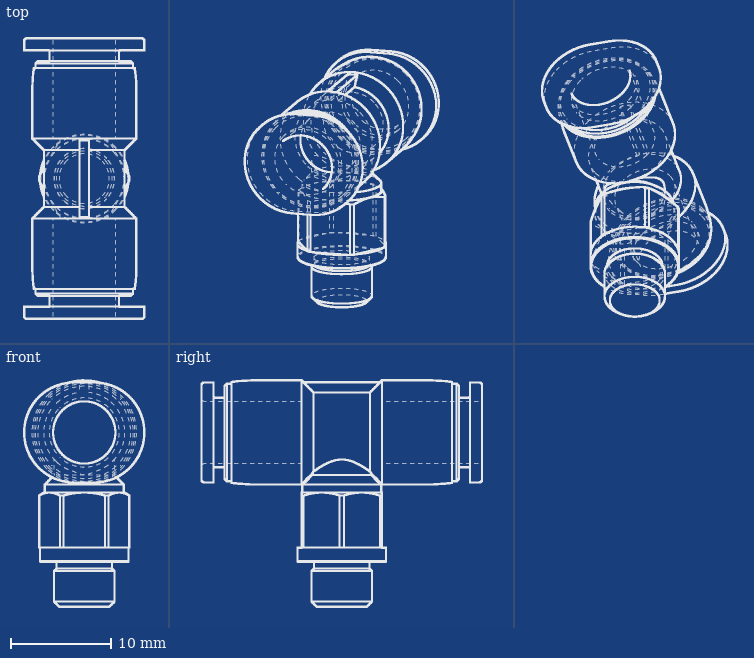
import cadquery as cq
import math


RUN_HALF_LENGTH = 14.0
FLANGE_HEIGHT = 10.0
FLANGE_WIDTH = 12.0
FLANGE_THICKNESS = 1.23
SLEEVE_RADIUS = 3.47
SLEEVE_ROOT_FILLET = 0.08
EDGE_FILLET = 0.3
BORE_RADIUS = 3.1

BODY_RADIUS = 5.2
BODY_HALF_LENGTH = 11.7
NOSE_LENGTH = 0.7
NOSE_RADIUS = 4.87
NOSE_CHAMFER = 0.25
TAPER_LENGTH = 2.02
TAPER_END_RADIUS = 5.05
SHOULDER_Y = 4.0
WAIST_RADIUS = 4.03
BORE_DEPTH = RUN_HALF_LENGTH - SHOULDER_Y

RIB_WIDTH = 0.98
RIB_TOP = 5.0

NECK_RADIUS = 3.0
CONE_BOTTOM = -5.2
COLLAR_RADIUS = 3.95
CONE_TOP = CONE_BOTTOM + (COLLAR_RADIUS - NECK_RADIUS)
HEX_TOP = -6.0
HEX_BOTTOM = -11.48
HEX_ACROSS_FLATS = 8.0
HEX_CORNER_RADIUS = 4.5
FLATS_TURN = 30.0
HEX_CHAMFER_ANGLE = 30.0
WASHER_RADIUS = 4.42
WASHER_BOTTOM = -12.9
WASHER_CHAMFER = 0.08
UNDERCUT_RADIUS = 2.77
UNDERCUT_BOTTOM = -13.58
THREAD_RADIUS = 3.02
THREAD_TIP_RADIUS = 2.5
STEM_BOTTOM = -17.4


def run_body():
    """Revolved body: waist, 45 degree shoulders, barrels and curved end tapers."""
    nose_y = BODY_HALF_LENGTH - NOSE_LENGTH
    barrel_y = nose_y - TAPER_LENGTH
    waist_y = SHOULDER_Y - (BODY_RADIUS - WAIST_RADIUS)
    half = (
        cq.Workplane("XY")
        .lineTo(WAIST_RADIUS, 0)
        .lineTo(WAIST_RADIUS, waist_y)
        .lineTo(BODY_RADIUS, SHOULDER_Y)
        .lineTo(BODY_RADIUS, barrel_y)
        .tangentArcPoint((TAPER_END_RADIUS, nose_y), relative=False)
        .lineTo(NOSE_RADIUS, nose_y)
        .lineTo(NOSE_RADIUS, BODY_HALF_LENGTH)
        .lineTo(0, BODY_HALF_LENGTH)
        .close()
        .revolve(360, (0, 0, 0), (0, 1, 0))
        .faces(">Y")
        .edges()
        .chamfer(NOSE_CHAMFER)
    )
    return half.union(half.mirror("XZ"))


def release_sleeve():
    """Sleeve with an oblong flange at the +Y end, its outer edge rounded."""
    flange = (
        cq.Workplane("XZ", origin=(0, RUN_HALF_LENGTH, 0))
        .slot2D(FLANGE_WIDTH, FLANGE_HEIGHT)
        .extrude(FLANGE_THICKNESS)
        .faces(">Y")
        .edges()
        .fillet(EDGE_FILLET)
    )
    sleeve = (
        cq.Workplane("XZ", origin=(0, RUN_HALF_LENGTH - FLANGE_THICKNESS, 0))
        .circle(SLEEVE_RADIUS)
        .extrude(BORE_DEPTH - FLANGE_THICKNESS)
    )
    root_edge = cq.selectors.RadiusNthSelector(0)
    return (
        flange.union(sleeve)
        .faces("<Y[1]")
        .edges("%CIRCLE")
        .edges(root_edge)
        .fillet(SLEEVE_ROOT_FILLET)
    )


def tube_bore():
    """Cutter for the blind tube bore at the +Y end, flared to leave a rounded lip."""
    bottom_y = RUN_HALF_LENGTH - BORE_DEPTH
    return (
        cq.Workplane("XY")
        .moveTo(0, bottom_y)
        .lineTo(BORE_RADIUS, bottom_y)
        .lineTo(BORE_RADIUS, RUN_HALF_LENGTH - EDGE_FILLET)
        .tangentArcPoint((BORE_RADIUS + EDGE_FILLET, RUN_HALF_LENGTH), relative=False)
        .lineTo(0, RUN_HALF_LENGTH)
        .close()
        .revolve(360, (0, 0, 0), (0, 1, 0))
    )


def waist_rib():
    """Flat-topped rib joining the two shoulders along the top of the waist."""
    length = 2 * (SHOULDER_Y - (BODY_RADIUS - RIB_TOP))
    return cq.Workplane("XY").box(RIB_WIDTH, length, RIB_TOP, centered=(True, True, False))


def hexagon():
    """Hexagon with flats facing Y, turned corners and the top edge chamfered."""
    height = HEX_TOP - HEX_BOTTOM
    flat_radius = HEX_ACROSS_FLATS / 2
    chamfer_width = HEX_CORNER_RADIUS - flat_radius
    chamfer_drop = chamfer_width * math.tan(math.radians(HEX_CHAMFER_ANGLE))
    prism = (
        cq.Workplane("XY", origin=(0, 0, HEX_BOTTOM))
        .polygon(6, HEX_ACROSS_FLATS, circumscribed=True)
        .extrude(height)
        .rotate((0, 0, 0), (0, 0, 1), FLATS_TURN)
    )
    turned_blank = (
        cq.Workplane("XY", origin=(0, 0, HEX_BOTTOM))
        .circle(HEX_CORNER_RADIUS)
        .extrude(height)
        .faces(">Z")
        .chamfer(chamfer_drop, chamfer_width)
    )
    return prism.intersect(turned_blank)


def stem():
    """Revolved stem: neck, cone, collar, sealing washer, undercut and threaded end."""
    thread_top = UNDERCUT_BOTTOM - (THREAD_RADIUS - UNDERCUT_RADIUS)
    thread_bottom = STEM_BOTTOM + (THREAD_RADIUS - THREAD_TIP_RADIUS)
    turned = (
        cq.Workplane("XZ")
        .lineTo(NECK_RADIUS, 0)
        .lineTo(NECK_RADIUS, CONE_TOP)
        .lineTo(COLLAR_RADIUS, CONE_BOTTOM)
        .lineTo(COLLAR_RADIUS, HEX_BOTTOM)
        .lineTo(WASHER_RADIUS, HEX_BOTTOM)
        .lineTo(WASHER_RADIUS, WASHER_BOTTOM + WASHER_CHAMFER)
        .lineTo(WASHER_RADIUS - WASHER_CHAMFER, WASHER_BOTTOM)
        .lineTo(UNDERCUT_RADIUS, WASHER_BOTTOM)
        .lineTo(UNDERCUT_RADIUS, UNDERCUT_BOTTOM)
        .lineTo(THREAD_RADIUS, thread_top)
        .lineTo(THREAD_RADIUS, thread_bottom)
        .lineTo(THREAD_TIP_RADIUS, STEM_BOTTOM)
        .lineTo(0, STEM_BOTTOM)
        .close()
        .revolve(360, (0, 0, 0), (0, 1, 0))
    )
    return turned.union(hexagon())


sleeve = release_sleeve()
bore = tube_bore()
result = run_body().union(waist_rib()).union(stem())
result = result.union(sleeve).union(sleeve.mirror("XZ"))
result = result.cut(bore).cut(bore.mirror("XZ"))